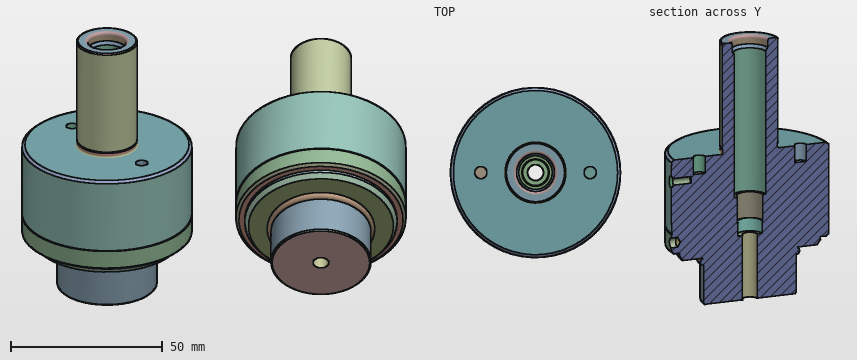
import cadquery as cq
import math

spigot_top = 15.9
flange_taper_top = 17.6
body_bottom = 18.6
joint_height = 25.5
body_top = 51.0
total_height = 89.0

spigot_diameter = 32.9
spigot_chamfer = 0.45
flange_diameter = 50.2
flange_taper = 1.25
body_diameter = 56.0
body_chamfer_width = 1.0
body_chamfer_height = 0.8
joint_groove_width = 0.2
joint_groove_depth = 0.2
shank_diameter = 20.0
shank_chamfer = 0.45

neck_diameter = 19.7
neck_round = 0.5
neck_length = 1.5
neck_taper_length = 0.5
neck_top = body_top + neck_length
neck_taper_top = neck_top + neck_taper_length

ring_section_radius = 1.25
ring_height = spigot_top - ring_section_radius

through_diameter = 5.2
mouth_diameter = 12.5
mouth_round = 1.0
mouth_depth = 3.1
bore_diameter = 11.0
bore_cone_depth = 4.3
bore_depth = 53.4
seat_diameter = 9.0
seat_depth = 62.3
lower_bore_diameter = 8.45
lower_bore_depth = 66.75

pin_hole_diameter = 4.0
pin_hole_offset = 18.0
pin_hole_depth = 5.8

upper_hole_height = 43.4
upper_hole_diameter = 2.1
upper_hole_depth = 7.1
countersink_diameter = 4.0
countersink_angle = 90.0
lower_hole_height = 22.5
lower_hole_diameter = 3.2
lower_hole_depth = 2.2
drill_point_angle = 118.0


def revolve(profile):
    """Turn a half section, drawn as (radius, height), around Z."""
    return profile.close().revolve(360, (0, 0, 0), (0, 1, 0))


def make_outer_body():
    spigot_radius = spigot_diameter / 2
    flange_radius = flange_diameter / 2
    body_radius = body_diameter / 2
    groove_radius = body_radius - joint_groove_depth
    shank_radius = shank_diameter / 2
    neck_radius = neck_diameter / 2
    profile = (
        cq.Workplane("XZ")
        .moveTo(0, 0)
        .lineTo(spigot_radius - spigot_chamfer, 0)
        .lineTo(spigot_radius, spigot_chamfer)
        .lineTo(spigot_radius, ring_height - ring_section_radius)
        .threePointArc((spigot_radius + ring_section_radius, ring_height), (spigot_radius, spigot_top))
        .lineTo(flange_radius - flange_taper, spigot_top)
        .lineTo(flange_radius, flange_taper_top)
        .lineTo(flange_radius, body_bottom)
        .lineTo(body_radius - body_chamfer_width, body_bottom)
        .lineTo(body_radius, body_bottom + body_chamfer_height)
        .lineTo(body_radius, joint_height - joint_groove_width / 2)
        .lineTo(groove_radius, joint_height - joint_groove_width / 2)
        .lineTo(groove_radius, joint_height + joint_groove_width / 2)
        .lineTo(body_radius, joint_height + joint_groove_width / 2)
        .lineTo(body_radius, body_top - body_chamfer_height)
        .lineTo(body_radius - body_chamfer_width, body_top)
        .lineTo(neck_radius + neck_round, body_top)
        .radiusArc((neck_radius, body_top + neck_round), neck_round)
        .lineTo(neck_radius, neck_top)
        .lineTo(shank_radius, neck_taper_top)
        .lineTo(shank_radius, total_height - shank_chamfer)
        .lineTo(shank_radius - shank_chamfer, total_height)
        .lineTo(0, total_height)
    )
    return revolve(profile)


def make_bore():
    mouth_radius = mouth_diameter / 2
    round_centre_radius = mouth_radius + mouth_round
    round_middle = mouth_round * math.sqrt(0.5)
    profile = (
        cq.Workplane("XZ")
        .moveTo(0, 0)
        .lineTo(through_diameter / 2, 0)
        .lineTo(through_diameter / 2, total_height - lower_bore_depth)
        .lineTo(lower_bore_diameter / 2, total_height - lower_bore_depth)
        .lineTo(lower_bore_diameter / 2, total_height - seat_depth)
        .lineTo(seat_diameter / 2, total_height - seat_depth)
        .lineTo(seat_diameter / 2, total_height - bore_depth)
        .lineTo(bore_diameter / 2, total_height - bore_depth)
        .lineTo(bore_diameter / 2, total_height - bore_cone_depth)
        .lineTo(mouth_radius, total_height - mouth_depth)
        .lineTo(mouth_radius, total_height - mouth_round)
        .threePointArc(
            (round_centre_radius - round_middle, total_height - mouth_round + round_middle),
            (round_centre_radius, total_height),
        )
        .lineTo(0, total_height)
    )
    return revolve(profile)


def make_pin_holes():
    return (
        cq.Workplane("XY", origin=(0, 0, body_top))
        .pushPoints([(-pin_hole_offset, 0), (pin_hole_offset, 0)])
        .circle(pin_hole_diameter / 2)
        .extrude(-pin_hole_depth)
    )


def make_radial_drilling(diameter, height, depth):
    """Cylinder running inward from the -X side of the body."""
    return (
        cq.Workplane("YZ", origin=(-body_diameter / 2, 0, height))
        .circle(diameter / 2)
        .extrude(depth)
    )


def make_radial_cone(diameter, height, start_depth, angle):
    """Cone pointing inward, its wide end start_depth below the -X side of the body."""
    length = diameter / 2 / math.tan(math.radians(angle / 2))
    wide_end = cq.Vector(-body_diameter / 2 + start_depth, 0, height)
    cone = cq.Solid.makeCone(diameter / 2, 0, length, wide_end, cq.Vector(1, 0, 0))
    return cq.Workplane(cone)


def make_upper_hole():
    drilling = make_radial_drilling(upper_hole_diameter, upper_hole_height, upper_hole_depth)
    countersink = make_radial_cone(countersink_diameter, upper_hole_height, 0, countersink_angle)
    return drilling.union(countersink)


def make_lower_hole():
    drilling = make_radial_drilling(lower_hole_diameter, lower_hole_height, lower_hole_depth)
    drill_point = make_radial_cone(
        lower_hole_diameter, lower_hole_height, lower_hole_depth, drill_point_angle
    )
    return drilling.union(drill_point)


result = (
    make_outer_body()
    .cut(make_bore())
    .cut(make_pin_holes())
    .cut(make_upper_hole())
    .cut(make_lower_hole())
)